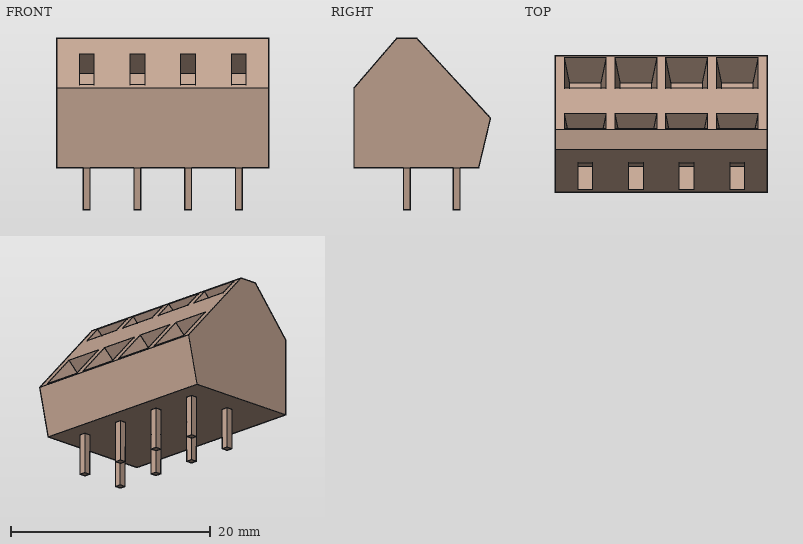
import cadquery as cq
import math

LENGTH = 21.25
BODY_HEIGHT = 13.0
BODY_DEPTH = 13.7
BASE_DEPTH = 12.5
BACK_EDGE_HEIGHT = 5.0
FRONT_EDGE_HEIGHT = 8.0
RIDGE_FRONT = 4.3
RIDGE_BACK = 6.3

POLE_COUNT = 4
POLE_PITCH = 5.08

PIN_SIDE = 0.7
PIN_DROP = 4.2
PIN_ROWS_Y = (5.3, 10.3)

POCKET_DEPTH = 3.0
SLOT_WIDTH = 1.49
SLOT_START = 0.49
SLOT_LENGTH = 4.01
FUNNEL_WIDTH = 4.2
FUNNEL_DRAFT = 10.0
WIRE_FUNNEL_START = 0.28
WIRE_FUNNEL_LENGTH = 4.5
TOOL_FUNNEL_START = 8.52
TOOL_FUNNEL_LENGTH = 2.2

FRONT_EDGE = (0.0, FRONT_EDGE_HEIGHT)
FRONT_RIDGE = (RIDGE_FRONT, BODY_HEIGHT)
BACK_EDGE = (BODY_DEPTH, BACK_EDGE_HEIGHT)
BACK_RIDGE = (RIDGE_BACK, BODY_HEIGHT)

POLE_POSITIONS = [(i - (POLE_COUNT - 1) / 2) * POLE_PITCH for i in range(POLE_COUNT)]


def make_housing():
    outline = [(0, 0), FRONT_EDGE, FRONT_RIDGE, BACK_RIDGE, BACK_EDGE, (BASE_DEPTH, 0)]
    return cq.Workplane("YZ").polyline(outline).close().extrude(LENGTH / 2, both=True)


def make_pins():
    centers = [(x, y) for x in POLE_POSITIONS for y in PIN_ROWS_Y]
    return cq.Workplane("XY").pushPoints(centers).rect(PIN_SIDE, PIN_SIDE).extrude(-PIN_DROP)


def make_pockets(lower_edge, ridge, start, length, width, draft=0.0):
    """One pocket per pole, sunk into the slope that rises from lower_edge to ridge, both given as (Y, Z)."""
    rise_y = ridge[0] - lower_edge[0]
    rise_z = ridge[1] - lower_edge[1]
    slope_length = math.hypot(rise_y, rise_z)
    middle = (start + length / 2) / slope_length
    center_y = lower_edge[0] + middle * rise_y
    center_z = lower_edge[1] + middle * rise_z
    inward = (0, math.copysign(rise_z, rise_y), -abs(rise_y))
    face = cq.Plane(origin=(0, center_y, center_z), xDir=(1, 0, 0), normal=inward)
    centers = [(x, 0) for x in POLE_POSITIONS]
    return cq.Workplane(face).pushPoints(centers).rect(width, length).extrude(POCKET_DEPTH, taper=draft)


slots = make_pockets(FRONT_EDGE, FRONT_RIDGE, SLOT_START, SLOT_LENGTH, SLOT_WIDTH)
wire_funnels = make_pockets(
    BACK_EDGE, BACK_RIDGE, WIRE_FUNNEL_START, WIRE_FUNNEL_LENGTH, FUNNEL_WIDTH, FUNNEL_DRAFT
)
tool_funnels = make_pockets(
    BACK_EDGE, BACK_RIDGE, TOOL_FUNNEL_START, TOOL_FUNNEL_LENGTH, FUNNEL_WIDTH, FUNNEL_DRAFT
)

result = make_housing().union(make_pins()).cut(slots).cut(wire_funnels).cut(tool_funnels)